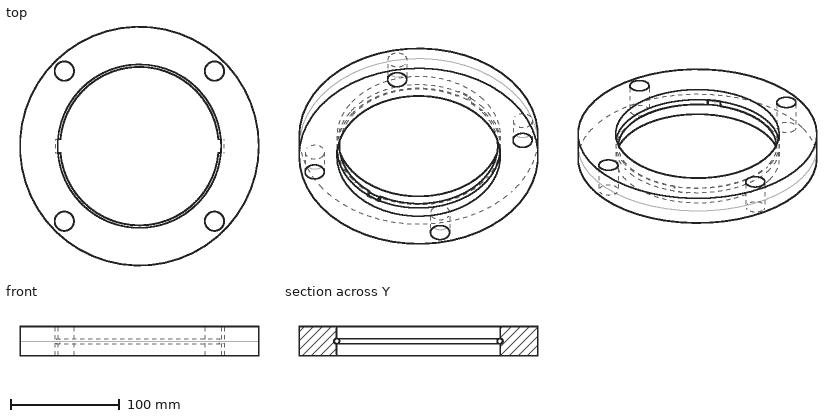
import cadquery as cq

outer_diameter = 220.0
thickness = 27.0
bore_radius = 75.2

hole_diameter = 17.5
hole_spacing = 138.2

bead_radius = 2.5
bead_gap = 12.3


def flange():
    body = cq.Workplane("XY").circle(outer_diameter / 2).circle(bore_radius)
    body = body.extrude(thickness / 2, both=True)
    holes = (
        cq.Workplane("XY")
        .rect(hole_spacing, hole_spacing, forConstruction=True)
        .vertices()
        .circle(hole_diameter / 2)
        .extrude(thickness, both=True)
    )
    return body.cut(holes)


def bead():
    """Full torus centred on the bore wall at mid thickness."""
    section = cq.Workplane("XZ").center(bore_radius, 0).circle(bead_radius)
    return section.revolve(360, (-bore_radius, 0, 0), (-bore_radius, 1, 0))


def bead_gaps():
    """Straight bar across the bore that spans both interruptions of the bead."""
    return cq.Workplane("XY").box(outer_diameter, bead_gap, thickness)


bead_seat = bead()
split_bead = bead_seat.cut(bead_gaps())
result = flange().cut(bead_seat).union(split_bead)